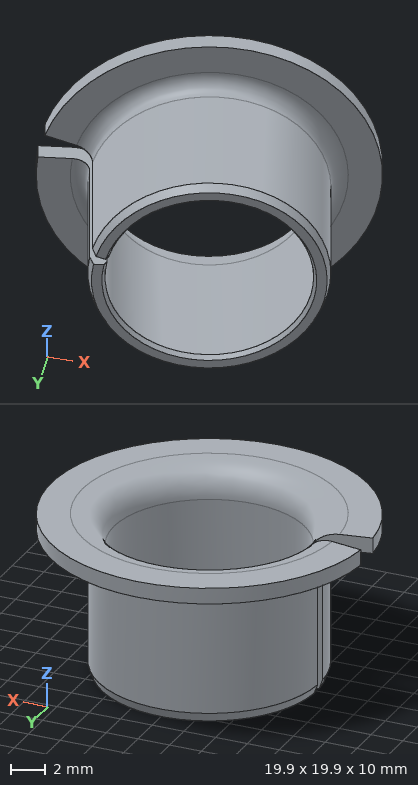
import cadquery as cq
import math

flange_radius = 9.96
bore_radius = 6.0
wall = 1.0
height = 10.0
chamfer_height = 0.6
chamfer_angle = 20.0
bore_chamfer_height = 0.3
bore_chamfer_width = 0.18
slit_inner_width = 0.35
slit_half_angle = 9.7

sleeve_radius = bore_radius + wall
chamfer_width = chamfer_height * math.tan(math.radians(chamfer_angle))
outer_bend = wall
inner_bend = outer_bend + wall
bend_center_radius = sleeve_radius + outer_bend
bend_center_z = height - inner_bend
diagonal = math.sqrt(0.5)


def bend_middle(radius):
    """Midpoint of a quarter-circle bend around the shared bend center."""
    return (bend_center_radius - radius * diagonal, bend_center_z + radius * diagonal)


def flanged_sleeve():
    """Revolve the wall section, with concentric bends between sleeve and flange."""
    return (
        cq.Workplane("XZ")
        .moveTo(bore_radius, bore_chamfer_height)
        .lineTo(bore_radius + bore_chamfer_width, 0)
        .lineTo(sleeve_radius - chamfer_width, 0)
        .lineTo(sleeve_radius, chamfer_height)
        .lineTo(sleeve_radius, bend_center_z)
        .threePointArc(bend_middle(outer_bend), (bend_center_radius, height - wall))
        .lineTo(flange_radius, height - wall)
        .lineTo(flange_radius, height)
        .lineTo(bend_center_radius, height)
        .threePointArc(bend_middle(inner_bend), (bore_radius, bend_center_z))
        .close()
        .revolve(360, (0, 0, 0), (0, 1, 0))
        .rotate((0, 0, 0), (0, 0, 1), 180)
    )


def slit_wedge():
    """Full-height wedge that opens the ring on -X and widens outward."""
    slope = math.tan(math.radians(slit_half_angle))
    apex_x = -bore_radius + slit_inner_width / 2 / slope
    far_x = -flange_radius - wall
    far_half_width = (apex_x - far_x) * slope
    return (
        cq.Workplane("XY")
        .polyline([(apex_x, 0), (far_x, far_half_width), (far_x, -far_half_width)])
        .close()
        .extrude(height)
    )


result = flanged_sleeve().cut(slit_wedge())